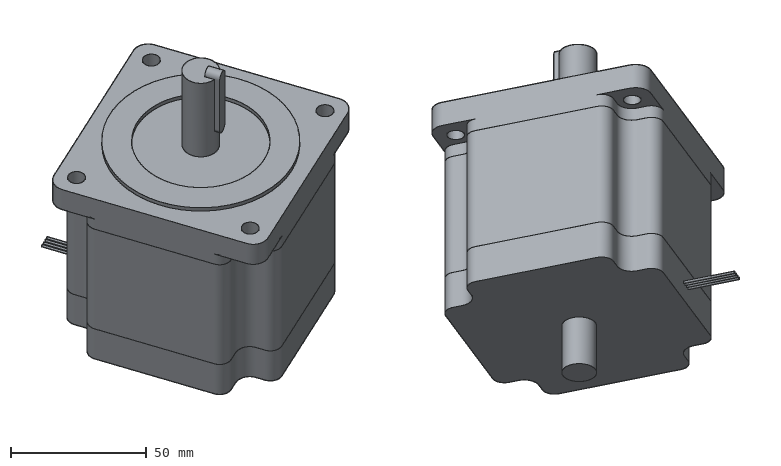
import cadquery as cq

body_width = 86.0
corner_pocket = 14.2
pocket_radius = 5.7
edge_radius = 4.7

cap_height = 15.0
stator_height = 49.9
flange_thickness = 10.0
rear_cap_bottom = 0.0
stator_bottom = rear_cap_bottom + cap_height
front_cap_bottom = stator_bottom + stator_height
front_face = front_cap_bottom + cap_height

flange_corner_radius = 6.0
hole_spacing = 69.7
hole_diameter = 6.5

pilot_diameter = 73.0
recess_diameter = 51.0
pilot_height = 1.7

front_shaft_diameter = 14.0
front_shaft_length = 36.8
rear_shaft_diameter = 12.8
rear_shaft_length = 20.0
rear_shaft_offset = -0.35
front_shaft_top = front_face + front_shaft_length

key_width = 5.0
key_length = 29.8
key_inner_x = 2.6
key_outer_x = 8.6
key_top = front_shaft_top + key_width / 2

wire_count = 4
wire_diameter = 1.0
wire_length = 20.0
wire_spacing = 1.5
wire_row_y = 0.8
wire_z = 7.5


def scalloped_block(bottom, height):
    """Square block with a pocket in each vertical corner and every upright edge rounded."""
    bar_width = body_width - 2 * corner_pocket
    base = cq.Workplane("XY").workplane(offset=bottom)
    core = base.rect(body_width, bar_width).extrude(height)
    cross = core.union(base.rect(bar_width, body_width).extrude(height))
    reach = body_width / 2 - edge_radius
    inner_edges = cq.selectors.BoxSelector((-reach, -reach, bottom), (reach, reach, bottom + height))
    cross = cross.edges("|Z").edges(inner_edges).fillet(pocket_radius)
    return cross.edges("|Z and (>X or <X or >Y or <Y)").fillet(edge_radius)


def cylinder(diameter, bottom, height):
    """Upright cylinder on the motor axis."""
    return cq.Workplane("XY").workplane(offset=bottom).circle(diameter / 2).extrude(height)


def make_key():
    """Flat key with fully rounded ends, lying along the +X side of the front shaft."""
    return (
        cq.Workplane("YZ", origin=(key_inner_x, 0, key_top - key_length / 2))
        .slot2D(key_length, key_width, 90)
        .extrude(key_outer_x - key_inner_x)
    )


def make_front_cap():
    """Front cap with its mounting flange, pilot ring, output shaft and key."""
    flange = (
        cq.Workplane("XY")
        .workplane(offset=front_face - flange_thickness)
        .rect(body_width, body_width)
        .extrude(flange_thickness)
        .edges("|Z")
        .fillet(flange_corner_radius)
    )
    holes = (
        cq.Workplane("XY")
        .workplane(offset=front_face - flange_thickness)
        .rect(hole_spacing, hole_spacing, forConstruction=True)
        .vertices()
        .circle(hole_diameter / 2)
        .extrude(flange_thickness)
    )
    pilot_ring = cylinder(pilot_diameter, front_face, pilot_height).cut(
        cylinder(recess_diameter, front_face, pilot_height)
    )
    cap = scalloped_block(front_cap_bottom, cap_height).union(flange).cut(holes)
    cap = cap.union(pilot_ring)
    cap = cap.union(cylinder(front_shaft_diameter, front_face, front_shaft_length))
    return cap.union(make_key())


def make_stator():
    """Plain middle section between the two caps."""
    return scalloped_block(stator_bottom, stator_height)


def make_rear_cap():
    """Rear cap with the rear shaft and the row of lead wires."""
    cap = scalloped_block(rear_cap_bottom, cap_height)
    shaft = cylinder(rear_shaft_diameter, rear_cap_bottom - rear_shaft_length, rear_shaft_length)
    shaft = shaft.translate((rear_shaft_offset, rear_shaft_offset, 0))
    wires = (
        cq.Workplane("YZ", origin=(-body_width / 2, wire_row_y, wire_z))
        .rarray(wire_spacing, 1.4, wire_count, 1)
        .circle(wire_diameter / 2)
        .extrude(-wire_length)
    )
    return cap.union(shaft).union(wires)


front_cap = make_front_cap()
stator = make_stator()
rear_cap = make_rear_cap()

result = cq.Compound.makeCompound([front_cap.val(), stator.val(), rear_cap.val()])